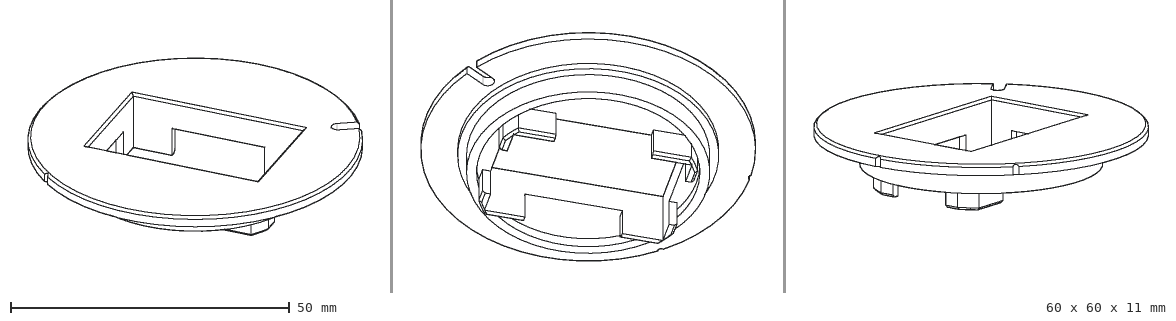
import cadquery as cq
import math

plate_diameter = 60.0
plate_thickness = 2.0
plate_chamfer = 0.5

shoulder_diameter = 46.8
shoulder_height = 1.25
plug_diameter = 43.6
plug_height = 4.15
cavity_diameter = 40.0
cavity_depth = 1.9

overall_height = 11.0
foot_outline_length = 36.0
foot_outline_width = 24.0
foot_gap_x = 18.0
foot_gap_y = 12.0
foot_chamfer = 0.5

window_length = 33.0
window_width = 21.0
window_chamfer = 0.5

slot_width = 2.4
slot_angle = 31.5
slot_center_radius = 25.85

groove_radius = 0.6
groove_depth = 0.35
groove_center_radius = plate_diameter / 2 - groove_depth + groove_radius
groove_angles = (180.0, 230.0)

shoulder_bottom = -shoulder_height
plug_bottom = shoulder_bottom - plug_height
foot_bottom = plate_thickness - overall_height
cavity_floor = plug_bottom + cavity_depth
foot_height = cavity_floor - foot_bottom


def disc(diameter, bottom, height):
    return cq.Workplane("XY").workplane(offset=bottom).circle(diameter / 2).extrude(height)


def block(length, width, bottom, height):
    return cq.Workplane("XY").workplane(offset=bottom).rect(length, width).extrude(height)


def make_plate():
    return disc(plate_diameter, 0, plate_thickness).faces(">Z").edges().chamfer(plate_chamfer)


def make_feet():
    """Rectangle rounded by the cavity wall, with a chamfered underside, split into four corner feet."""
    outline = block(foot_outline_length, foot_outline_width, foot_bottom, foot_height)
    outline = outline.intersect(disc(cavity_diameter, foot_bottom, foot_height))
    outline = outline.faces("<Z").edges().chamfer(foot_chamfer)
    gap_along_y = block(foot_gap_x, foot_outline_width, foot_bottom, foot_height)
    gap_along_x = block(foot_outline_length, foot_gap_y, foot_bottom, foot_height)
    return outline.cut(gap_along_y).cut(gap_along_x)


def make_window():
    """Window prism that widens to a chamfer at the plate's top face."""
    opening = block(window_length, window_width, foot_bottom, overall_height)
    flare = (
        cq.Workplane("XY")
        .workplane(offset=plate_thickness - window_chamfer)
        .rect(window_length, window_width)
        .workplane(offset=window_chamfer)
        .rect(window_length + 2 * window_chamfer, window_width + 2 * window_chamfer)
        .loft(ruled=True)
    )
    return opening.union(flare)


def make_slot():
    """Radial slot with a round inner end, running out through the rim."""
    slot_run = plate_diameter / 2
    round_end = cq.Workplane("XY").center(slot_center_radius, 0).circle(slot_width / 2)
    channel = cq.Workplane("XY").center(slot_center_radius + slot_run / 2, 0).rect(slot_run, slot_width)
    slot = round_end.extrude(plate_thickness).union(channel.extrude(plate_thickness))
    return slot.rotate((0, 0, 0), (0, 0, 1), slot_angle)


def make_groove(angle):
    x = groove_center_radius * math.cos(math.radians(angle))
    y = groove_center_radius * math.sin(math.radians(angle))
    return cq.Workplane("XY").center(x, y).circle(groove_radius).extrude(plate_thickness)


body = make_plate()
body = body.union(disc(shoulder_diameter, shoulder_bottom, shoulder_height))
body = body.union(disc(plug_diameter, plug_bottom, plug_height))
body = body.cut(disc(cavity_diameter, plug_bottom, cavity_depth))
body = body.union(make_feet())
body = body.cut(make_window())
body = body.cut(make_slot())
for groove_angle in groove_angles:
    body = body.cut(make_groove(groove_angle))

result = body